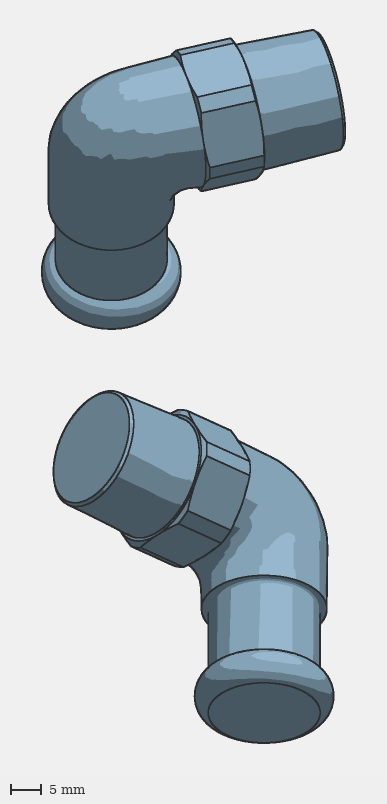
import cadquery as cq
import math


ACROSS_FLATS = 22.0
HEX_CORNER_DIAMETER = 24.0
HEX_START = 12.8
HEX_LENGTH = 10.0
HEX_CHAMFER_DEPTH = 0.4
THREAD_DIAMETER = 20.95
THREAD_COLLAR_LENGTH = 1.05
THREAD_TAPER = 1 / 16
THREAD_END = 37.0
THREAD_CHAMFER = 0.5

RING_DIAMETER = 20.5
RING_TOP = -13.92
RING_LENGTH = 2.05
NECK_DIAMETER = 18.3
NECK_FILLET = 0.8
BEAD_DIAMETER = 22.72
BEAD_HEIGHT = 6.45
BEAD_FACE_DIAMETER = 18.3
SOCKET_END = -35.995

OUTER_BEND_RADIUS = 13.92
INNER_BEND_RADIUS = 1.8
BEND_SIDE_RADIUS = 10.5
BEND_STEPS = 4

HEX_END = HEX_START + HEX_LENGTH
ELBOW_RADIUS = ACROSS_FLATS / 2
RING_RADIUS = RING_DIAMETER / 2
RING_BOTTOM = RING_TOP - RING_LENGTH
NECK_RADIUS = NECK_DIAMETER / 2


def revolve_along_y(outline):
    """Revolve a closed (radius, y) outline about the Y axis."""
    return outline.close().revolve(360, (0, 0, 0), (0, 1, 0))


def make_thread():
    """Tapered male end with a short cylindrical collar and a chamfered tip."""
    radius = THREAD_DIAMETER / 2
    collar_end = HEX_END + THREAD_COLLAR_LENGTH
    chamfer_start = THREAD_END - THREAD_CHAMFER
    tip_radius = radius - (chamfer_start - collar_end) * THREAD_TAPER / 2
    outline = (
        cq.Workplane("XY")
        .moveTo(0, HEX_START)
        .lineTo(radius, HEX_START)
        .lineTo(radius, collar_end)
        .lineTo(tip_radius, chamfer_start)
        .lineTo(tip_radius - THREAD_CHAMFER, THREAD_END)
        .lineTo(0, THREAD_END)
    )
    return revolve_along_y(outline)


def make_hexagon():
    """Hexagon with flats facing up and down, its corners turned off and its ends chamfered."""
    hexagon = (
        cq.Workplane("XZ", origin=(0, HEX_START, 0))
        .polygon(6, ACROSS_FLATS, circumscribed=True)
        .extrude(-HEX_LENGTH)
        .rotate((0, 0, 0), (0, 1, 0), 30)
    )
    turned_blank = (
        cq.Workplane("XY")
        .moveTo(0, HEX_START)
        .lineTo(ELBOW_RADIUS, HEX_START)
        .lineTo(HEX_CORNER_DIAMETER / 2, HEX_START + HEX_CHAMFER_DEPTH)
        .lineTo(HEX_CORNER_DIAMETER / 2, HEX_END - HEX_CHAMFER_DEPTH)
        .lineTo(ELBOW_RADIUS, HEX_END)
        .lineTo(0, HEX_END)
    )
    return hexagon.intersect(revolve_along_y(turned_blank))


def section_wire(outer, inner, side_radius):
    """Ellipse across the elbow, spanning the (y, z) points on its outer and inner bends."""
    y_span = outer[0] - inner[0]
    z_span = outer[1] - inner[1]
    centre = cq.Vector(0, (outer[0] + inner[0]) / 2, (outer[1] + inner[1]) / 2)
    return cq.Wire.makeEllipse(
        side_radius,
        math.hypot(y_span, z_span) / 2,
        centre,
        cq.Vector(0, z_span, -y_span),
        cq.Vector(1, 0, 0),
        closed=True,
    )


def make_elbow():
    """Elbow narrowing from the hexagon to the ring, with a wide outer and a tight inner bend."""
    outer_centre = (OUTER_BEND_RADIUS - RING_RADIUS, ELBOW_RADIUS - OUTER_BEND_RADIUS)
    inner_centre = (RING_RADIUS + INNER_BEND_RADIUS, -ELBOW_RADIUS - INNER_BEND_RADIUS)

    def bend_section(fraction):
        angle = math.pi / 2 * (1 + fraction)
        direction = (math.cos(angle), math.sin(angle))
        outer = [c + OUTER_BEND_RADIUS * d for c, d in zip(outer_centre, direction)]
        inner = [c + INNER_BEND_RADIUS * d for c, d in zip(inner_centre, direction)]
        return section_wire(outer, inner, BEND_SIDE_RADIUS)

    bend = [bend_section(step / BEND_STEPS) for step in range(BEND_STEPS + 1)]
    hex_end = section_wire((HEX_START, ELBOW_RADIUS), (HEX_START, -ELBOW_RADIUS), ELBOW_RADIUS)
    ring_end = section_wire((-RING_RADIUS, RING_TOP), (RING_RADIUS, RING_TOP), RING_RADIUS)
    hex_transition = cq.Workplane(cq.Solid.makeLoft([hex_end, bend[0]], True))
    curved_bend = cq.Workplane(cq.Solid.makeLoft(bend))
    ring_transition = cq.Workplane(cq.Solid.makeLoft([bend[-1], ring_end], True))
    return hex_transition.union(curved_bend).union(ring_transition)


def make_socket():
    """Ring, neck and rounded seal bead, turned about the Z axis."""
    bead_top = SOCKET_END + BEAD_HEIGHT
    bead_middle = SOCKET_END + BEAD_HEIGHT / 2
    neck_top = RING_BOTTOM - NECK_FILLET
    return (
        cq.Workplane("XZ")
        .moveTo(0, RING_TOP)
        .lineTo(RING_RADIUS, RING_TOP)
        .lineTo(RING_RADIUS, RING_BOTTOM)
        .lineTo(NECK_RADIUS + NECK_FILLET, RING_BOTTOM)
        .radiusArc((NECK_RADIUS, neck_top), -NECK_FILLET)
        .lineTo(NECK_RADIUS, bead_top)
        .threePointArc((BEAD_DIAMETER / 2, bead_middle), (BEAD_FACE_DIAMETER / 2, SOCKET_END))
        .lineTo(0, SOCKET_END)
        .close()
        .revolve(360, (0, 0, 0), (0, 1, 0))
    )


result = make_elbow().union(make_hexagon()).union(make_thread()).union(make_socket())